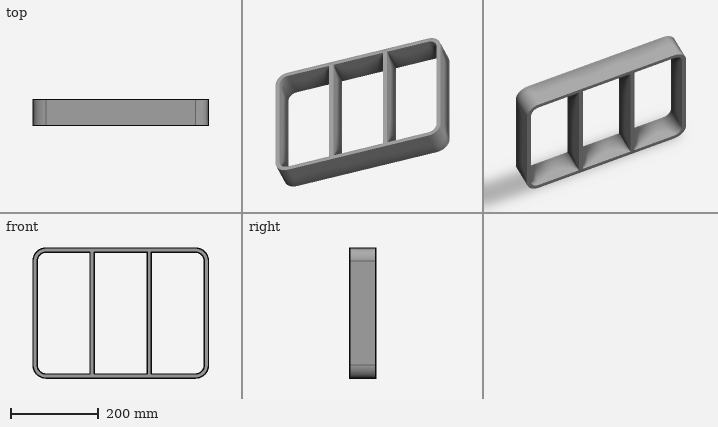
import cadquery as cq

width = 401.5
depth = 60.0
height = 298.0

wall = 10.0
outer_radius = 30.0
inner_radius = outer_radius - wall
bay_count = 3

inner_width = width - 2 * wall
inner_height = height - 2 * wall
bay_width = (inner_width - (bay_count - 1) * wall) / bay_count
bay_pitch = bay_width + wall


def rounded_block(block_width, block_height, radius):
    """Block centred on the origin with its four edges along Y rounded."""
    block = cq.Workplane("XY").box(block_width, depth, block_height)
    return block.edges("|Y").fillet(radius)


def divider(x):
    """Upright wall across the opening, overlapping the frame walls."""
    return cq.Workplane("XY").box(wall, depth, inner_height + wall).translate((x, 0, 0))


result = rounded_block(width, height, outer_radius).cut(
    rounded_block(inner_width, inner_height, inner_radius)
)

first_divider_x = -(bay_count - 2) * bay_pitch / 2
for index in range(bay_count - 1):
    result = result.union(divider(first_divider_x + index * bay_pitch))